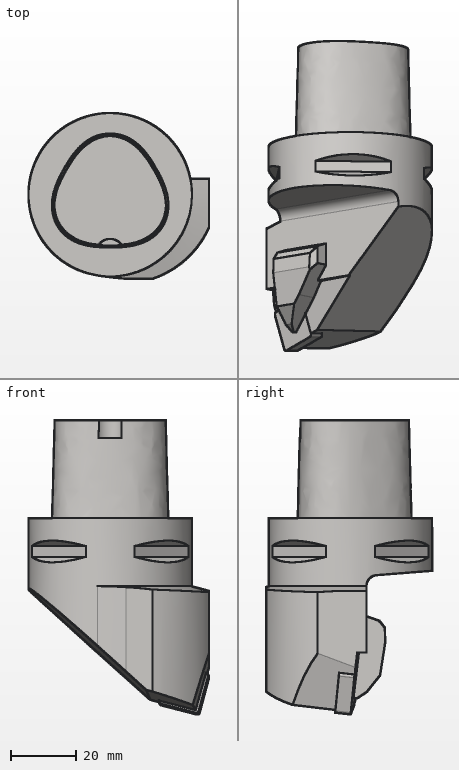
import cadquery as cq
import math


SHANK_HEIGHT = 30.0
SHANK_BASE_RADIUS = 17.5
SHANK_TOP_RADIUS = 16.65
LOBE_HEIGHT = 1.3
OUTLINE_POINTS = 36
KEY_WIDTH = 7.0
KEY_DEPTH = 1.9
KEY_HEIGHT = 5.4

FLANGE_RADIUS = 50.0 / 2
FLANGE_HEIGHT = 20.8
SLOT_LENGTH = 23.2
SLOT_FLOOR_HEIGHT = 3.2
SLOT_MOUTH_HEIGHT = 6.7
SLOT_Z = -10.2
SLOT_COUNT = 4

HEAD_RIGHT = 30.2
HEAD_FRONT = -25.7
HEAD_BACK = 4.95
HEAD_BOTTOM = -63.0
SHOULDER_ANGLE = 15.0
BLEND_START_X = -3.9
BLEND_END_X = 4.9
CORNER_START_X = 13.0
CORNER_MID = (21.15, -21.4)
CORNER_END_Y = -10.0
RELIEF_EDGE_Z = -16.1
RELIEF_SLOPE_ANGLE = 4.5
RELIEF_RADIUS = 3.2

EDGE_ANGLE = 15.0
CLEARANCE_SLOPE = 0.1
SLANT_SLOPE = 0.91
SLANT_TILT = 0.07
RAKE_TOP_Z = -41.0
LOWER_CORNER = (11.0, HEAD_FRONT, -52.5)
SIDE_CORNER = (HEAD_RIGHT, CORNER_END_Y, -41.3)

INSERT_SIZE = 12.7
INSERT_THICKNESS = 4.8
INSERT_CORNER_RADIUS = 0.8
INSERT_TIP = (27.2, 0, -60.2)

CLAMP_LEFT = 5.4
CLAMP_RIGHT = 22.1
CLAMP_TOP_Z = -30.0
CLAMP_BOTTOM_Z = -55.1
CLAMP_BACK = 10.7
CLAMP_PROFILE = [
    (8.8, -31.3),
    (10.5, -33.5),
    (CLAMP_BACK, -37.8),
    (9.1, -48.1),
    (4.95, -53.2),
    (2.1, CLAMP_BOTTOM_Z),
]
CLAMP_CHAMFER = 1.8
CLAMP_TAPER_Z = -36.6
CLAMP_NOSE_Z = -45.6
CLAMP_TAPER = 0.8
CLAMP_NOSE_TAPER = 0.95

TRIM_SIZE = 180.0

EDGE_SLOPE = math.tan(math.radians(EDGE_ANGLE))
BOTTOM_NORMAL = cq.Vector(-EDGE_SLOPE, -CLEARANCE_SLOPE, -1)
SIDE_NORMAL = cq.Vector(1, -CLEARANCE_SLOPE, -EDGE_SLOPE)
SLANT_NORMAL = cq.Vector(-SLANT_SLOPE, -SLANT_TILT, -1)
INSERT_AXIS = SIDE_NORMAL.cross(BOTTOM_NORMAL).normalized()
if INSERT_AXIS.y > 0:
    INSERT_AXIS = -INSERT_AXIS


def half_space(point, normal):
    """Large block on the outer side of a plane."""
    plane = cq.Plane(origin=point, normal=normal.toTuple())
    return cq.Workplane(plane).rect(TRIM_SIZE, TRIM_SIZE).extrude(TRIM_SIZE)


def lobed_outline(mean_radius):
    """Closed three-lobed outline with one lobe toward +Y."""
    points = []
    for i in range(OUTLINE_POINTS):
        angle = 2 * math.pi * i / OUTLINE_POINTS
        radius = mean_radius + LOBE_HEIGHT * math.cos(3 * (angle - math.pi / 2))
        points.append((radius * math.cos(angle), radius * math.sin(angle)))
    return points


def make_shank():
    shank = (
        cq.Workplane("XY")
        .spline(lobed_outline(SHANK_BASE_RADIUS), periodic=True).close()
        .workplane(offset=SHANK_HEIGHT)
        .spline(lobed_outline(SHANK_TOP_RADIUS), periodic=True).close()
        .loft(ruled=True)
    )
    key_radius = ((KEY_WIDTH / 2) ** 2 + KEY_DEPTH ** 2) / (2 * KEY_DEPTH)
    shank_front = SHANK_TOP_RADIUS - LOBE_HEIGHT
    key = (
        cq.Workplane("XY", origin=(0, KEY_DEPTH - shank_front - key_radius, SHANK_HEIGHT))
        .circle(key_radius).extrude(-KEY_HEIGHT)
    )
    return shank.cut(key)


def make_gripper_slot(angle):
    """Chordal slot with sloping walls, cut into the flange rim."""
    floor_radius = math.sqrt(FLANGE_RADIUS ** 2 - (SLOT_LENGTH / 2) ** 2)
    half_floor = SLOT_FLOOR_HEIGHT / 2
    half_mouth = SLOT_MOUTH_HEIGHT / 2
    profile = [
        (floor_radius, SLOT_Z - half_floor),
        (FLANGE_RADIUS, SLOT_Z - half_mouth),
        (FLANGE_RADIUS, SLOT_Z + half_mouth),
        (floor_radius, SLOT_Z + half_floor),
    ]
    slot = cq.Workplane("XZ").polyline(profile).close().extrude(SLOT_LENGTH / 2, both=True)
    return slot.rotate((0, 0, 0), (0, 0, 1), angle)


def make_flange():
    flange = cq.Workplane("XY").circle(FLANGE_RADIUS).extrude(-FLANGE_HEIGHT)
    for i in range(SLOT_COUNT):
        flange = flange.cut(make_gripper_slot((i + 0.5) * 360 / SLOT_COUNT))
    return flange


def make_head():
    blend_start_y = -math.sqrt(FLANGE_RADIUS ** 2 - BLEND_START_X ** 2)
    back_x = -math.sqrt(FLANGE_RADIUS ** 2 - HEAD_BACK ** 2)
    diagonal = FLANGE_RADIUS * math.sqrt(0.5)
    stock = (
        cq.Workplane("XY", origin=(0, 0, HEAD_BOTTOM))
        .moveTo(back_x, HEAD_BACK)
        .threePointArc((-diagonal, -diagonal), (BLEND_START_X, blend_start_y))
        .tangentArcPoint((BLEND_END_X, HEAD_FRONT), relative=False)
        .lineTo(CORNER_START_X, HEAD_FRONT)
        .threePointArc(CORNER_MID, (HEAD_RIGHT, CORNER_END_Y))
        .lineTo(HEAD_RIGHT, HEAD_BACK)
        .close()
        .extrude(-FLANGE_HEIGHT - HEAD_BOTTOM)
    )
    outer_radius = 2 * FLANGE_RADIUS
    fall = FLANGE_RADIUS * math.tan(math.radians(SHOULDER_ANGLE))
    envelope = (
        cq.Workplane("XZ")
        .moveTo(0, HEAD_BOTTOM)
        .lineTo(outer_radius, HEAD_BOTTOM)
        .lineTo(outer_radius, -FLANGE_HEIGHT - fall)
        .lineTo(FLANGE_RADIUS, -FLANGE_HEIGHT)
        .lineTo(0, -FLANGE_HEIGHT)
        .close()
        .revolve(360, (0, 0, 0), (0, 1, 0))
    )
    head = stock.intersect(envelope)
    head = head.cut(half_space(LOWER_CORNER, SLANT_NORMAL))
    head = head.cut(half_space(LOWER_CORNER, BOTTOM_NORMAL))
    head = head.cut(half_space(SIDE_CORNER, SIDE_NORMAL))
    return head.cut(make_rake_trim())


def make_rake_trim():
    """Stock in front of the rake face, up to the ledge above the insert."""
    above_ledge = half_space((0, 0, RAKE_TOP_Z), cq.Vector(0, 0, 1))
    return half_space(INSERT_TIP, -INSERT_AXIS).cut(above_ledge)


def make_chip_relief():
    """Clearance above the chip-side face, rising gently to the flange rim."""
    run = FLANGE_RADIUS - HEAD_BACK
    inner_z = RELIEF_EDGE_Z - run * math.tan(math.radians(RELIEF_SLOPE_ANGLE))
    return (
        cq.Workplane("YZ", origin=(-FLANGE_RADIUS, 0, 0))
        .moveTo(FLANGE_RADIUS, RELIEF_EDGE_Z)
        .lineTo(HEAD_BACK, inner_z)
        .lineTo(HEAD_BACK, HEAD_BOTTOM)
        .lineTo(FLANGE_RADIUS, HEAD_BOTTOM)
        .close()
        .extrude(2 * FLANGE_RADIUS)
        .edges("|X").edges("<Y").edges(">Z").fillet(RELIEF_RADIUS)
    )


def make_clamp():
    profile = [(0, CLAMP_TOP_Z), (HEAD_BACK, CLAMP_TOP_Z), *CLAMP_PROFILE, (0, CLAMP_BOTTOM_Z)]
    clamp = (
        cq.Workplane("YZ", origin=(CLAMP_LEFT, 0, 0))
        .polyline(profile).close()
        .extrude(CLAMP_RIGHT - CLAMP_LEFT)
    )
    bevel = (
        cq.Workplane("XY", origin=(0, 0, CLAMP_BOTTOM_Z))
        .moveTo(CLAMP_LEFT, CLAMP_BACK - CLAMP_CHAMFER)
        .lineTo(CLAMP_LEFT, CLAMP_BACK)
        .lineTo(CLAMP_LEFT + CLAMP_CHAMFER, CLAMP_BACK)
        .close()
        .extrude(CLAMP_TOP_Z - CLAMP_BOTTOM_Z)
    )
    clamp = clamp.cut(bevel)
    nose_x = CLAMP_LEFT + CLAMP_TAPER * (CLAMP_TAPER_Z - CLAMP_NOSE_Z)
    clamp = clamp.cut(half_space((CLAMP_LEFT, 0, CLAMP_TAPER_Z), cq.Vector(-1, 0, -CLAMP_TAPER)))
    return clamp.cut(half_space((nose_x, 0, CLAMP_NOSE_Z), cq.Vector(-1, 0, -CLAMP_NOSE_TAPER)))


def make_insert():
    """Square plate whose rake face lies in the trimmed face of the head."""
    lower_edge = INSERT_AXIS.cross(BOTTOM_NORMAL)
    if lower_edge.x > 0:
        lower_edge = -lower_edge
    plane = cq.Plane(origin=INSERT_TIP, xDir=lower_edge.toTuple(), normal=INSERT_AXIS.toTuple())
    plate = cq.Workplane(plane).center(INSERT_SIZE / 2, -INSERT_SIZE / 2)
    plate = plate.rect(INSERT_SIZE, INSERT_SIZE).extrude(INSERT_THICKNESS)
    return plate.edges(cq.selectors.ParallelDirSelector(INSERT_AXIS)).fillet(INSERT_CORNER_RADIUS)


insert = make_insert()
holder = make_flange().cut(make_chip_relief())
holder = holder.union(make_shank()).union(make_head()).union(make_clamp())
holder = holder.cut(insert)

result = cq.Compound.makeCompound([holder.val(), insert.val()])